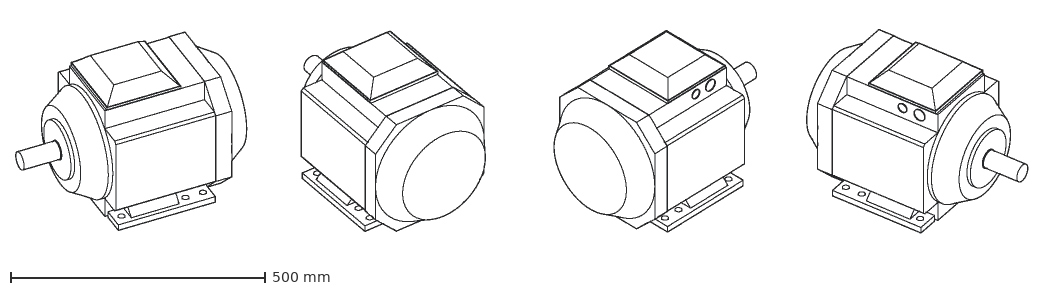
import cadquery as cq


overall_length = 447

housing_length = 217.5
ring_length = 35.0
ring_half = 131.5
ring_corner = 81.0
housing_inset = 1.0
housing_half = ring_half - housing_inset
spine_half = 80.5
flank_half = 86.3

cowl_length = 48.0
cowl_end_radius = 100.0

shield_radius = 116.5
shield_rim_length = 10.0
shield_end_radius = 89.0
shield_cone_length = 47.0
boss_radius = 61.5
boss_length = 8.0
collar_radius = 20.0
collar_length = 2.0
shaft_diameter = 38.0
shaft_radius = shaft_diameter / 2
front_length = overall_length - housing_length - ring_length - cowl_length

axis_height = 132.0
foot_front = 5.0
foot_length = 212.0
foot_width = 47.5
foot_thickness = 14.0
foot_outer = ring_half
hole_diameter = 14.0
hole_inset = 23.2
first_hole = 18.0
hole_pitches = (0, 140.0, 178.0)

gusset_front = 38.0
gusset_length = 104.5
gusset_toe = 121.5
gusset_wall = 103.3

box_front = 4.0
box_base_half = 82.0
box_length = 161.5
box_base_top = 137.5
box_top = 165.0
box_lid_margin = 1.5
box_slope = box_top - box_base_top

entry_height = 110.0
entry_depth = 2.0
entries = ((44.3, 13.0), (85.0, 10.5))


def block(x_min, x_max, y_min, y_max, z_min, z_max):
    """Axis-aligned box between the given limits."""
    size = (x_max - x_min, y_max - y_min, z_max - z_min)
    return cq.Workplane("XY").box(*size, centered=False).translate((x_min, y_min, z_min))


def octagon(half, corner, y_start, length):
    """Octagonal prism along +Y with the given flat distance and half flat length."""
    quarter = [(half, corner), (corner, half)]
    points = quarter + [(-x, z) for x, z in reversed(quarter)]
    points += [(-x, -z) for x, z in points]
    return cq.Workplane("XZ", origin=(0, y_start, 0)).polyline(points).close().extrude(-length)


def make_housing():
    """Cross-shaped stator housing with its flank edges trimmed by an octagon."""
    spine = block(-spine_half, spine_half, 0, housing_length, -housing_half, housing_half)
    flanks = block(-housing_half, housing_half, 0, housing_length, -flank_half, flank_half)
    return spine.union(flanks).intersect(octagon(housing_half, ring_corner, 0, housing_length))


def make_turned_parts():
    """Fan cowl, end shield, boss, collar and shaft revolved about the Y axis."""
    cowl_start = housing_length + ring_length
    cone_start = -shield_rim_length
    cone_end = cone_start - shield_cone_length
    boss_end = cone_end - boss_length
    collar_end = boss_end - collar_length
    profile = [
        (0, -front_length),
        (shaft_radius, -front_length),
        (shaft_radius, collar_end),
        (collar_radius, collar_end),
        (collar_radius, boss_end),
        (boss_radius, boss_end),
        (boss_radius, cone_end),
        (shield_end_radius, cone_end),
        (shield_radius, cone_start),
        (shield_radius, 0),
        (shield_end_radius, 0),
        (shield_end_radius, cowl_start),
        (ring_half, cowl_start),
        (cowl_end_radius, cowl_start + cowl_length),
        (0, cowl_start + cowl_length),
    ]
    return cq.Workplane("XY").polyline(profile).close().revolve(360, (0, 0, 0), (0, 1, 0))


def make_left_foot():
    """Drilled foot plate on the -X side with the gusset tying it to the housing."""
    foot_top = foot_thickness - axis_height
    foot = block(-foot_outer, foot_width - foot_outer, foot_front, foot_front + foot_length,
                 -axis_height, foot_top)
    gusset_profile = [
        (-gusset_toe, foot_top),
        (-gusset_wall, foot_top + gusset_toe - gusset_wall),
        (-gusset_wall, -flank_half),
        (-spine_half, -flank_half),
        (-spine_half, -housing_half),
        (-gusset_toe, -housing_half),
    ]
    gusset_sketch = cq.Workplane("XZ", origin=(0, gusset_front, 0)).polyline(gusset_profile).close()
    foot = foot.union(gusset_sketch.extrude(-gusset_length))
    hole_points = [(hole_inset - foot_outer, foot_front + first_hole + pitch) for pitch in hole_pitches]
    holes = cq.Workplane("XY", origin=(0, 0, -axis_height)).pushPoints(hole_points)
    return foot.cut(holes.circle(hole_diameter / 2).extrude(foot_thickness))


def make_terminal_box():
    """Base plate on a low plinth, with a lid whose four sides slope inwards at 45 degrees."""
    box_back = box_front + box_length
    plinth = block(-spine_half, spine_half, box_front, box_back, housing_half, ring_half)
    base = block(-box_base_half, box_base_half, box_front, box_back, ring_half, box_base_top)
    lid_width = 2 * (box_base_half - box_lid_margin)
    lid_length = box_length - 2 * box_lid_margin
    lid = (
        cq.Workplane("XY", origin=(0, box_front + box_length / 2, box_base_top))
        .rect(lid_width, lid_length)
        .workplane(offset=box_slope)
        .rect(lid_width - 2 * box_slope, lid_length - 2 * box_slope)
        .loft(ruled=True)
    )
    return plinth.union(base).union(lid)


def cut_cable_entries(body):
    """Shallow round cable entries in the -X side of the housing spine."""
    for y, radius in entries:
        entry = cq.Workplane("YZ", origin=(-spine_half, y, entry_height)).circle(radius)
        body = body.cut(entry.extrude(entry_depth))
    return body


left_foot = make_left_foot()
motor = make_housing()
motor = motor.union(octagon(ring_half, ring_corner, housing_length, ring_length))
motor = motor.union(make_turned_parts())
motor = motor.union(left_foot).union(left_foot.mirror("YZ"))
motor = motor.union(make_terminal_box())
result = cut_cable_entries(motor)